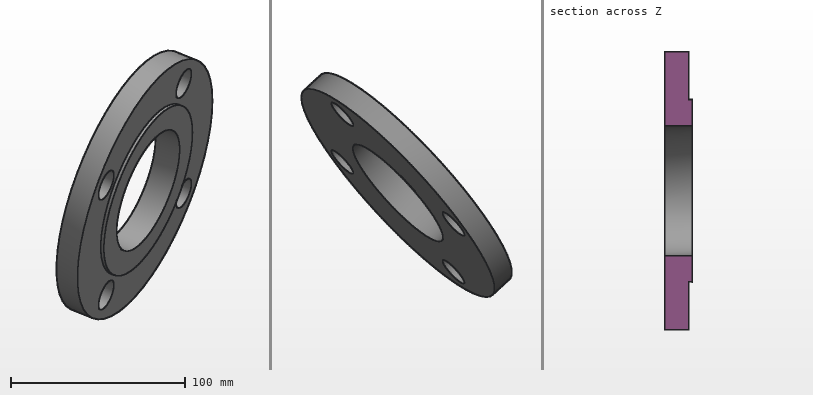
import cadquery as cq

outer_diameter = 160.0
total_thickness = 16.0
raised_face_diameter = 105.0
raised_face_height = 2.0
bore_diameter = 74.5
bolt_circle_diameter = 130.0
bolt_hole_diameter = 18.0
bolt_hole_count = 4
first_bolt_angle = 180 / bolt_hole_count

disc_thickness = total_thickness - raised_face_height

disc = cq.Workplane("YZ").circle(outer_diameter / 2).extrude(disc_thickness)

raised_face = cq.Workplane("YZ").circle(raised_face_diameter / 2).extrude(total_thickness)

bore = cq.Workplane("YZ").circle(bore_diameter / 2).extrude(total_thickness)

bolt_holes = (
    cq.Workplane("YZ")
    .polarArray(bolt_circle_diameter / 2, first_bolt_angle, 360, bolt_hole_count)
    .circle(bolt_hole_diameter / 2)
    .extrude(total_thickness)
)

result = disc.union(raised_face).cut(bore).cut(bolt_holes)